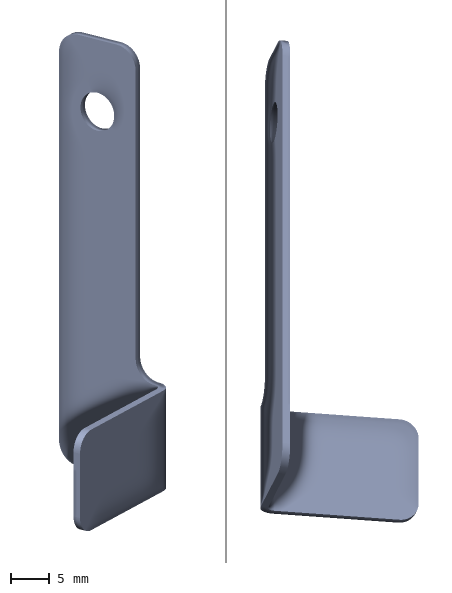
import cadquery as cq

width = 17.0
depth = 21.0
height = 60.0

thickness = 1.0
bend_outer_radius = 2.0
bend_inner_radius = bend_outer_radius - thickness

strip_width = 12.0
plate_corner_radius = 3.0
notch_radius = 3.0
hole_diameter = 5.3
hole_from_top = 10.0

flange_height = 14.0
flange_corner_radius = 2.5


def bent_sheet():
    """L-shaped sheet: plate along X at the back, flange along Y on the right."""
    sheet = (
        cq.Workplane("XY")
        .moveTo(0, depth)
        .lineTo(width, depth)
        .lineTo(width, 0)
        .lineTo(width - thickness, 0)
        .lineTo(width - thickness, depth - thickness)
        .lineTo(0, depth - thickness)
        .close()
        .extrude(height)
    )
    outer_edge = cq.selectors.NearestToPointSelector((width, depth, height / 2))
    inner_edge = cq.selectors.NearestToPointSelector(
        (width - thickness, depth - thickness, height / 2)
    )
    sheet = sheet.edges("|Z").edges(outer_edge).fillet(bend_outer_radius)
    return sheet.edges("|Z").edges(inner_edge).fillet(bend_inner_radius)


def front_outline():
    """Silhouette in XZ: tall strip widening to the flange height at the foot."""
    silhouette = (
        cq.Workplane("XZ")
        .moveTo(0, 0)
        .lineTo(width, 0)
        .lineTo(width, flange_height)
        .lineTo(strip_width, flange_height)
        .lineTo(strip_width, height)
        .lineTo(0, height)
        .close()
        .extrude(-depth)
    )
    silhouette = silhouette.edges("|Y and (<X or >Z)").fillet(plate_corner_radius)
    notch_edge = cq.selectors.NearestToPointSelector((strip_width, depth / 2, flange_height))
    return silhouette.edges("|Y").edges(notch_edge).fillet(notch_radius)


def side_outline():
    """Silhouette in YZ that rounds the two free corners of the flange."""
    block = cq.Workplane("XY").box(width, depth, flange_height, centered=False)
    block = block.edges("|X and <Y").fillet(flange_corner_radius)
    plate_zone = (
        cq.Workplane("XY")
        .box(width, bend_outer_radius, height, centered=False)
        .translate((0, depth - bend_outer_radius, 0))
    )
    return block.union(plate_zone)


def hanging_hole():
    """Round hole through the plate, centred on the strip."""
    return (
        cq.Workplane("XZ")
        .center(strip_width / 2, height - hole_from_top)
        .circle(hole_diameter / 2)
        .extrude(-depth)
    )


result = bent_sheet().intersect(front_outline()).intersect(side_outline()).cut(hanging_hole())